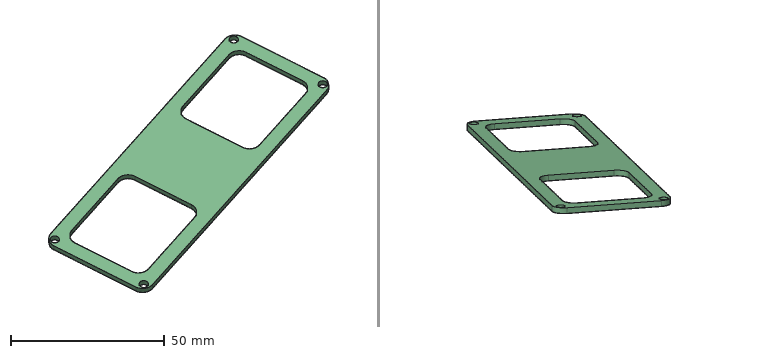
import cadquery as cq

width = 40.0
length = 110.0
thickness = 2.0
corner_radius = 4.0

rim = 5.0
window_length = 35.0
window_radius = 4.0
window_width = width - 2 * rim
window_offset = length / 2 - rim - window_length / 2

hole_diameter = 3.0
hole_inset = 2.5


def rounded_slab(slab_width, slab_length, radius):
    """Slab of plate thickness with rounded vertical edges."""
    return cq.Workplane("XY").box(slab_width, slab_length, thickness).edges("|Z").fillet(radius)


result = rounded_slab(width, length, corner_radius)

for side in (-1, 1):
    window = rounded_slab(window_width, window_length, window_radius)
    result = result.cut(window.translate((0, side * window_offset, 0)))

result = (
    result.faces(">Z")
    .workplane(origin=(0, 0, 0))
    .rect(width - 2 * hole_inset, length - 2 * hole_inset, forConstruction=True)
    .vertices()
    .hole(hole_diameter)
)